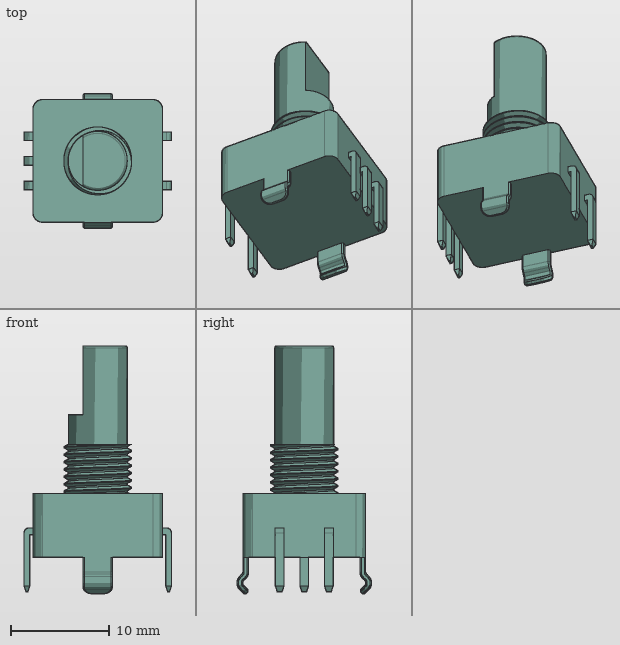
import cadquery as cq
import math


housing_x = 13.2
housing_y = 12.5
housing_height = 6.5
housing_corner_radius = 1.0

shaft_radius = 6.0 / 2
shaft_top = 15.0
shaft_fillet = 0.2
flat_x = -1.5
flat_bottom = 8.0

bushing_height = 5.0
core_radius = 6.05 / 2
crest_radius = 6.91 / 2
pitch = 0.75
crest_flat = pitch / 8
flank_angle = 30.0
thread_phase = 0.57
thread_overlap = 0.1
run_out_turns = 2

pin_outer_x = 15.0 / 2
pin_width = 0.9
pin_leg_thickness = 0.6
pin_arm_thickness = 0.7
pin_top = -3.5
pin_bend_radius = 0.5
pin_tip_top = -9.4
pin_tip_height = 0.6
pin_tip_inset = 0.2
pin_embed = 0.5
pin_spacing = 2.5

leg_outer_y = 13.7 / 2
leg_width = 3.0
leg_thickness = 0.6
leg_embed = 1.0
leg_bulge_radius = 0.95
leg_bulge_z = -9.1
leg_neck_radius = 0.25
leg_end_length = 0.77
leg_edge_chamfer = 0.15
leg_corner_radius = 1.0


def make_housing():
    return (
        cq.Workplane("XY")
        .rect(housing_x, housing_y)
        .extrude(-housing_height)
        .edges("|Z")
        .fillet(housing_corner_radius)
    )


def make_shaft():
    flat_cut = cq.Workplane("XY").box(
        shaft_radius, 2 * shaft_radius, shaft_top - flat_bottom, centered=(False, True, False)
    )
    shaft = cq.Workplane("XY").circle(shaft_radius).extrude(shaft_top)
    shaft = shaft.cut(flat_cut.translate((flat_x - shaft_radius, 0, flat_bottom)))
    return shaft.faces(">Z").edges("%CIRCLE").fillet(shaft_fillet)


def make_bushing():
    """Core cylinder with a right-hand helical ridge, trimmed flat at both ends."""
    root_radius = core_radius - thread_overlap
    start_z = thread_phase - run_out_turns * pitch
    helix_height = bushing_height + 2 * run_out_turns * pitch
    crest_half = crest_flat / 2
    root_half = crest_half + (crest_radius - root_radius) * math.tan(math.radians(flank_angle))
    path = cq.Wire.makeHelix(pitch, helix_height, core_radius)
    ridge = (
        cq.Workplane("XZ")
        .moveTo(root_radius, -root_half)
        .lineTo(crest_radius, -crest_half)
        .lineTo(crest_radius, crest_half)
        .lineTo(root_radius, root_half)
        .close()
        .sweep(cq.Workplane(path), isFrenet=True)
        .translate((0, 0, start_z))
    )
    envelope = cq.Workplane("XY").circle(2 * crest_radius).extrude(bushing_height)
    core = cq.Workplane("XY").circle(core_radius).extrude(bushing_height)
    return core.union(ridge.intersect(envelope))


def make_pin(y):
    """Pin on the -X side: an arm out of the housing, a rounded bend and a leg with a tapered tip."""
    outer_x = -pin_outer_x
    inner_x = outer_x + pin_leg_thickness
    arm_end_x = -housing_x / 2 + pin_embed
    bend_shift = pin_bend_radius * (1 - math.sqrt(0.5))
    bent_strip = (
        cq.Workplane("XZ")
        .moveTo(outer_x, pin_tip_top)
        .lineTo(outer_x, pin_top - pin_bend_radius)
        .threePointArc(
            (outer_x + bend_shift, pin_top - bend_shift),
            (outer_x + pin_bend_radius, pin_top),
        )
        .lineTo(arm_end_x, pin_top)
        .lineTo(arm_end_x, pin_top - pin_arm_thickness)
        .lineTo(inner_x, pin_top - pin_arm_thickness)
        .lineTo(inner_x, pin_tip_top)
        .close()
        .extrude(pin_width / 2, both=True)
    )
    tip = (
        cq.Workplane("XY", origin=((outer_x + inner_x) / 2, 0, pin_tip_top))
        .rect(pin_leg_thickness, pin_width)
        .workplane(offset=-pin_tip_height)
        .rect(pin_leg_thickness - 2 * pin_tip_inset, pin_width - 2 * pin_tip_inset)
        .loft(ruled=True)
    )
    return bent_strip.union(tip).translate((0, y, 0))


def make_leg():
    """Leg on the +Y side: a straight neck, a rounded outward bulge and an end angled back inward."""
    neck_y = housing_y / 2
    neck_inner_y = neck_y - leg_thickness
    neck_inner_radius = leg_neck_radius + leg_thickness
    bulge_y = leg_outer_y - leg_bulge_radius
    bulge_inner_radius = leg_bulge_radius - leg_thickness
    slope = math.sqrt(0.5)
    bend = math.radians(45)
    half_bend = bend / 2

    def around_bulge(radius, direction):
        return (bulge_y + radius * slope, leg_bulge_z + direction * radius * slope)

    outer_start = around_bulge(leg_bulge_radius, 1)
    corner_z = outer_start[1] + outer_start[0] - neck_y
    neck_end_z = corner_z + leg_neck_radius * math.tan(half_bend)
    neck_center_y = neck_y + leg_neck_radius

    def around_neck(radius, angle):
        return (neck_center_y - radius * math.cos(angle), neck_end_z - radius * math.sin(angle))

    outer_end = around_bulge(leg_bulge_radius, -1)
    inner_end = around_bulge(bulge_inner_radius, -1)
    end_step = leg_end_length * slope
    leg_top = -housing_height + leg_embed
    leg = (
        cq.Workplane("YZ")
        .moveTo(neck_y, leg_top)
        .lineTo(neck_y, neck_end_z)
        .threePointArc(around_neck(leg_neck_radius, half_bend), around_neck(leg_neck_radius, bend))
        .lineTo(*outer_start)
        .threePointArc((leg_outer_y, leg_bulge_z), outer_end)
        .lineTo(outer_end[0] - end_step, outer_end[1] - end_step)
        .lineTo(inner_end[0] - end_step, inner_end[1] - end_step)
        .lineTo(*inner_end)
        .threePointArc((bulge_y + bulge_inner_radius, leg_bulge_z), around_bulge(bulge_inner_radius, 1))
        .lineTo(*around_neck(neck_inner_radius, bend))
        .threePointArc(around_neck(neck_inner_radius, half_bend), (neck_inner_y, neck_end_z))
        .lineTo(neck_inner_y, leg_top)
        .close()
        .extrude(leg_width / 2, both=True)
    )
    end_face = cq.selectors.DirectionMinMaxSelector(cq.Vector(0, -1, -1), True)
    leg = leg.faces(end_face).edges("not |X").fillet(leg_corner_radius)
    across_thickness = cq.selectors.ParallelDirSelector(cq.Vector(0, 1, -1))
    long_rims = leg.edges(cq.selectors.StringSyntaxSelector("not (|X or >Z)") - across_thickness)
    end_rims = leg.faces(end_face).edges("|X")
    return long_rims.add(end_rims).chamfer(leg_edge_chamfer)


result = make_housing().union(make_shaft()).union(make_bushing())

for pin_y in (-pin_spacing, 0, pin_spacing):
    result = result.union(make_pin(pin_y))

for pin_y in (-pin_spacing, pin_spacing):
    result = result.union(make_pin(pin_y).mirror("YZ"))

leg = make_leg()
result = result.union(leg).union(leg.mirror("XZ"))